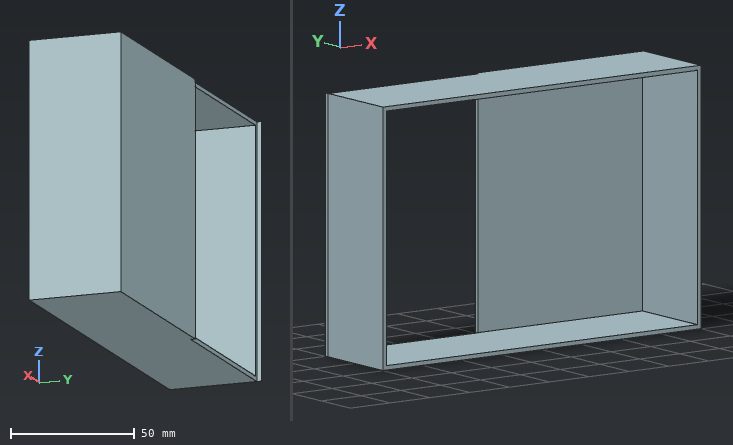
import cadquery as cq

length = 160.0
depth = 40.0
height = 109.0

wall = 2.0
opening_end = 75.4
lip = 0.2

body = cq.Workplane("XY").box(length, depth, height, centered=False)
cavity = (
    cq.Workplane("XY")
    .box(length - 2 * wall, depth - wall, height - 2 * wall, centered=False)
    .translate((wall, 0, wall))
)

recess = (
    cq.Workplane("XY")
    .box(opening_end - lip, wall, height, centered=False)
    .translate((lip, depth - wall, 0))
)

result = body.cut(cavity).cut(recess)